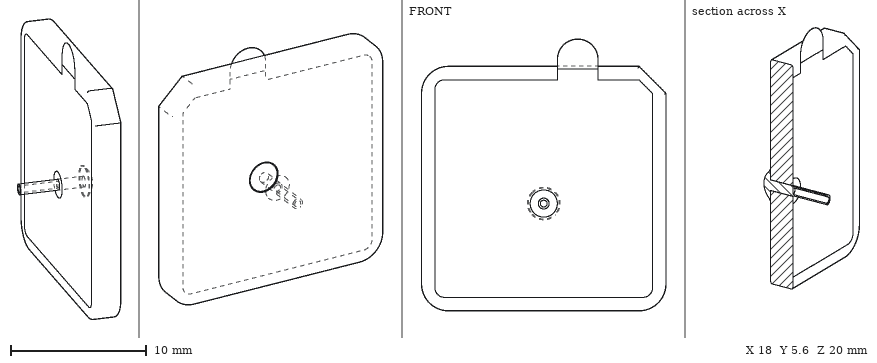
import cadquery as cq
import math

slab_side = 18.0
slab_thickness = 2.0
slab_corner_radius = 2.0
slab_corner_cut = 2.0
slab_edge_radius = 0.2

foil_thickness = 0.002
foil_margin = 1.0
foil_side = slab_side - 2 * foil_margin
foil_corner_radius = 0.7
foil_corner_cut = 1.0
foil_opening_diameter = 2.0
tab_width = 3.0
tab_offset = 2.5
tab_overhang = 2.0

pin_z = -1.1
pin_diameter = 0.8
pin_reach = 3.0
bore_diameter = 0.5
bore_depth = pin_reach
head_diameter = 2.4
head_height = 0.6
rim_height = 0.05
dome_diameter = 2.28

front_y = -slab_thickness / 2
back_y = slab_thickness / 2
pin_tip_y = front_y - pin_reach


def plane_at(y):
    """XZ workplane at the given Y; extruding by a negative distance goes towards +Y."""
    return cq.Workplane("XZ", origin=(0, y, 0))


def y_cylinder(diameter, start_y, end_y):
    """Cylinder around the pin axis."""
    return plane_at(start_y).center(0, pin_z).circle(diameter / 2).extrude(start_y - end_y)


def cut_corner_square(side, radius, cut, start_y, end_y):
    """Square plate with three rounded corners and the +X +Z corner cut off."""
    plate = plane_at(start_y).rect(side, side).extrude(start_y - end_y)
    plate = plate.edges("|Y").edges("<X or <Z").fillet(radius)
    sharp_corner = cq.selectors.NearestToPointSelector((side / 2, start_y, side / 2))
    return plate.edges("|Y").edges(sharp_corner).chamfer(cut)


def make_slab():
    slab = cut_corner_square(slab_side, slab_corner_radius, slab_corner_cut, front_y, back_y)
    return slab.faces("<Y or >Y").edges().fillet(slab_edge_radius)


def make_foil():
    outer_y = front_y - foil_thickness
    foil = cut_corner_square(foil_side, foil_corner_radius, foil_corner_cut, outer_y, front_y)

    tab_radius = tab_width / 2
    tab_tip_z = slab_side / 2 + tab_overhang
    tab_arc_z = tab_tip_z - tab_radius
    tab = (
        plane_at(outer_y)
        .moveTo(tab_offset - tab_radius, 0)
        .lineTo(tab_offset - tab_radius, tab_arc_z)
        .threePointArc((tab_offset, tab_tip_z), (tab_offset + tab_radius, tab_arc_z))
        .lineTo(tab_offset + tab_radius, 0)
        .close()
        .extrude(-foil_thickness)
    )
    opening = y_cylinder(foil_opening_diameter, outer_y, front_y)
    return foil.union(tab).cut(opening)


def make_plate():
    """Slab and foil as one solid, with the hole that the pin fills."""
    pin_hole = y_cylinder(pin_diameter, front_y, back_y)
    return make_slab().union(make_foil()).cut(pin_hole)


def make_pin():
    """Revolved about the pin's own axis: bore, shank, rim and dome."""
    bore_radius = bore_diameter / 2
    shank_radius = pin_diameter / 2
    rim_radius = head_diameter / 2
    dome_base_radius = dome_diameter / 2
    bore_end_y = pin_tip_y + bore_depth
    rim_top_y = back_y + rim_height
    head_top_y = back_y + head_height

    dome_height = head_height - rim_height
    sphere_radius = (dome_base_radius**2 + dome_height**2) / (2 * dome_height)
    arc_mid_radius = dome_base_radius / 2
    arc_mid_y = head_top_y - sphere_radius + math.sqrt(sphere_radius**2 - arc_mid_radius**2)

    return (
        cq.Workplane("YZ", origin=(0, 0, pin_z))
        .moveTo(bore_end_y, 0)
        .lineTo(bore_end_y, bore_radius)
        .lineTo(pin_tip_y, bore_radius)
        .lineTo(pin_tip_y, shank_radius)
        .lineTo(back_y, shank_radius)
        .lineTo(back_y, rim_radius)
        .lineTo(rim_top_y, rim_radius)
        .lineTo(rim_top_y, dome_base_radius)
        .threePointArc((arc_mid_y, arc_mid_radius), (head_top_y, 0))
        .close()
        .revolve(360, (0, 0, 0), (1, 0, 0))
    )


plate = make_plate()
pin = make_pin()
result = cq.Compound.makeCompound([plate.val(), pin.val()])